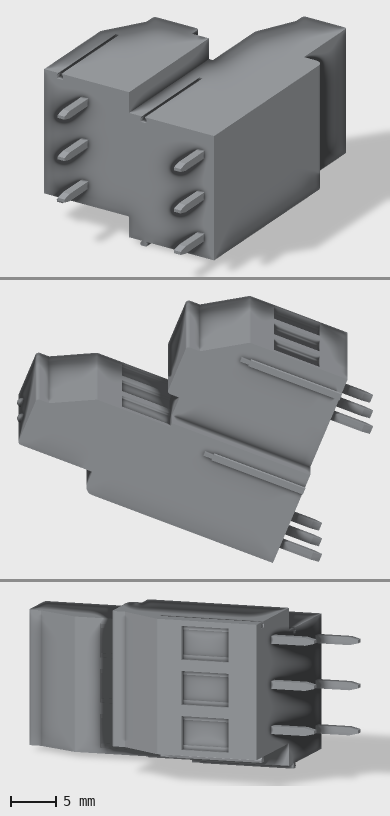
import cadquery as cq


pole_count = 3
block_depth = 15.25
pole_pitch = block_depth / pole_count
stagger = pole_pitch / 2
total_width = 22.3
housing_width = total_width / 2
low_base_z = 0
tall_base_z = low_base_z - stagger

edge_radius = 0.37

low_ledge_y = 16.5
low_head_left_x = 3.0
low_head_right_x = 8.9
low_head_top_y = 18.0
low_slope_start_y = 11.65
low_slope_end_y = 16.43

tall_face_x = 11.65
tall_head_left_x = 14.02
tall_head_right_x = 19.75
tall_head_top_y = 31.5
tall_slope_start_y = 25.25
tall_slope_end_y = 30.0
tall_shoulder_y = 22.57
shoulder_radius = 1.0

pin_length = 5.0
pin_width = 0.9
pin_tip_length = 1.05
pin_tip_thickness = 0.37
low_pin_x = 5.4
tall_pin_x = 20.65

window_height = 3.8
low_window_depth = 0.5
tall_window_depth = 0.1
recess_height = 2.85
low_recess_depth = 0.2
tall_recess_depth = 0.1
low_window_start_y = 3.3
low_window_end_y = 8.77
tall_window_end_y = 22.25

low_dovetail_x = 2.07
dovetail_spacing = 10.95
dovetail_length = 11.9
dovetail_neck = 0.4
dovetail_width = 0.85
dovetail_foot = 0.75
dovetail_flare = 0.35
rib_height = 0.6
groove_depth = 0.7
rib_end_length = 1.05

stud_x = 18.5
stud_radius = 0.5


def pole_levels(base_z):
    """Z of each pole centre in a housing."""
    return [base_z + (pole + 0.5) * pole_pitch for pole in range(pole_count)]


def extrude_outline(points, base_z):
    return cq.Workplane("XY", origin=(0, 0, base_z)).polyline(points).close().extrude(block_depth)


def round_edge(body, x, y, radius):
    """Round the Z-parallel edge that passes through (x, y)."""
    margin = 0.02
    picker = cq.selectors.BoxSelector(
        (x - margin, y - margin, tall_base_z - margin),
        (x + margin, y + margin, low_base_z + block_depth + margin),
    )
    return body.edges("|Z").edges(picker).fillet(radius)


def box_between(x_range, y_range, z_range):
    sizes = [high - low for low, high in (x_range, y_range, z_range)]
    corner = (x_range[0], y_range[0], z_range[0])
    return cq.Workplane("XY", origin=corner).box(*sizes, centered=False)


def make_low_housing():
    body = extrude_outline(
        [
            (0, 0),
            (housing_width, 0),
            (housing_width, low_ledge_y),
            (low_head_right_x, low_ledge_y),
            (low_head_right_x, low_head_top_y),
            (low_head_left_x, low_head_top_y),
            (low_head_left_x, low_slope_end_y),
            (0, low_slope_start_y),
        ],
        low_base_z,
    )
    body = round_edge(body, low_head_right_x, low_head_top_y, edge_radius)
    body = round_edge(body, low_head_left_x, low_head_top_y, edge_radius)
    return round_edge(body, 0, low_slope_start_y, edge_radius)


def make_tall_housing():
    body = extrude_outline(
        [
            (housing_width, 0),
            (total_width, 0),
            (total_width, tall_shoulder_y),
            (tall_head_right_x, tall_shoulder_y),
            (tall_head_right_x, tall_head_top_y),
            (tall_head_left_x, tall_head_top_y),
            (tall_head_left_x, tall_slope_end_y),
            (tall_face_x, tall_slope_start_y),
            (tall_face_x, low_ledge_y),
            (housing_width, low_ledge_y),
        ],
        tall_base_z,
    )
    body = round_edge(body, total_width, tall_shoulder_y, shoulder_radius)
    body = round_edge(body, tall_head_right_x, tall_head_top_y, edge_radius)
    body = round_edge(body, tall_head_left_x, tall_head_top_y, edge_radius)
    return round_edge(body, tall_face_x, tall_slope_start_y, edge_radius)


def make_wire_entry(face_x, y_range, z, window_depth, recess_depth):
    """Stepped cutter for one entry in the -X face at face_x."""
    window = box_between(
        (face_x, face_x + window_depth),
        y_range,
        (z - window_height / 2, z + window_height / 2),
    )
    recess = box_between(
        (face_x, face_x + window_depth + recess_depth),
        y_range,
        (z - recess_height / 2, z + recess_height / 2),
    )
    return window.union(recess)


def make_pin(x, z):
    """Square pin that tapers in Z toward its tip, rooted on the solder face."""
    half = pin_width / 2
    tip_half = pin_tip_thickness / 2
    taper_y = pin_tip_length - pin_length
    return (
        cq.Workplane("YZ", origin=(x, 0, z))
        .polyline(
            [
                (0, -half),
                (0, half),
                (taper_y, half),
                (-pin_length, tip_half),
                (-pin_length, -tip_half),
                (taper_y, -half),
            ]
        )
        .close()
        .extrude(half, both=True)
    )


def make_dovetail(x, z, height, length):
    """Bar, widest at mid-height, that hangs from level z and runs from the solder face toward +Y."""
    neck = dovetail_neck / 2
    wide = dovetail_width / 2
    foot = dovetail_foot / 2
    return (
        cq.Workplane("XZ", origin=(x, 0, z))
        .polyline(
            [
                (-neck, 0),
                (neck, 0),
                (wide, -dovetail_flare),
                (foot, -height),
                (-foot, -height),
                (-wide, -dovetail_flare),
            ]
        )
        .close()
        .extrude(-length)
    )


def make_rib(x, z):
    flared_length = dovetail_length - rib_end_length
    plain_end = box_between(
        (x - dovetail_neck / 2, x + dovetail_neck / 2),
        (flared_length, dovetail_length),
        (z - rib_height, z),
    )
    return make_dovetail(x, z, rib_height, flared_length).union(plain_end)


result = make_low_housing().union(make_tall_housing())

for base_z, pin_x, dovetail_x in (
    (low_base_z, low_pin_x, low_dovetail_x),
    (tall_base_z, tall_pin_x, low_dovetail_x + dovetail_spacing),
):
    for level in pole_levels(base_z):
        result = result.union(make_pin(pin_x, level))
    top_z = base_z + block_depth
    result = result.cut(make_dovetail(dovetail_x, top_z, groove_depth, dovetail_length))
    result = result.union(make_rib(dovetail_x, base_z))

low_window_span = (low_window_start_y, low_window_end_y)
for level in pole_levels(low_base_z):
    result = result.cut(make_wire_entry(0, low_window_span, level, low_window_depth, low_recess_depth))

tall_window_span = (low_ledge_y, tall_window_end_y)
for level in pole_levels(tall_base_z):
    result = result.cut(
        make_wire_entry(tall_face_x, tall_window_span, level, tall_window_depth, tall_recess_depth)
    )

for level in pole_levels(tall_base_z)[:-1]:
    stud = cq.Workplane("XY").sphere(stud_radius)
    result = result.union(stud.translate((stud_x, tall_head_top_y, level + pole_pitch / 2)))